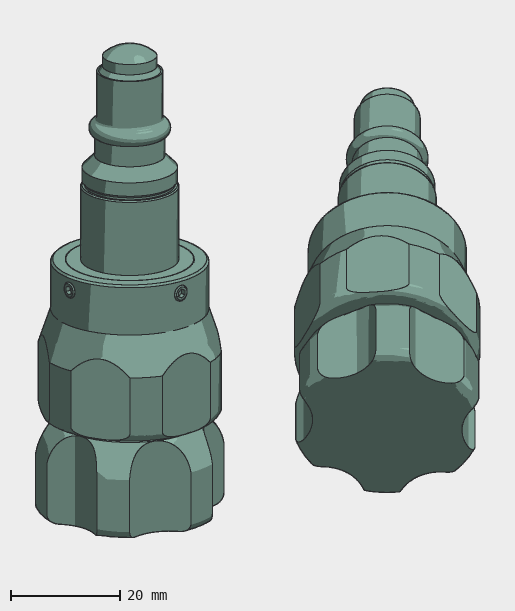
import cadquery as cq
import math

knob_radius = 17.5
knob_top_radius = 13.7
knob_height = 17.7
knob_shoulder_height = 11.7
knob_shoulder_mid = (16.2, 15.05)
knob_bottom_fillet = 2.0
scallop_count = 6
scallop_first_angle = 39.5
scallop_half_angle = 20.0
scallop_floor_radius = 13.7

neck_radius = 11.8
grip_bottom = 18.55

grip_radius = 17.0
grip_flat_distance = 16.0
grip_flat_count = 6
grip_bottom_fillet = 2.0
grip_cone_bottom = 31.4
collar_radius = 14.5
collar_bottom = 38.85
collar_top = 48.45
collar_chamfer = 0.4

seam_inner_radius = 11.7
seam_outer_radius = 11.8
seam_depth = 0.5

screw_radius = 1.5
screw_height = 45.75
screw_tip_distance = 14.7
screw_length = 3.0
screw_chamfer = 0.25
screw_clearance_radius = 1.525
screw_clearance_depth = 1.0
screw_socket_sides = 6
screw_socket_across_flats = 1.5
screw_socket_depth = 1.0
screw_angles = (0.0, -90.0)

spigot_radius = 9.0
spigot_top = 62.9
spigot_chamfer = 0.25
spigot_groove_radius = 8.3
land_bottom = 63.3
land_chamfer = 0.45
land_radius = 8.75
land_top = 66.35
stem_radius = 6.45
ring_center_height = 74.0
ring_tube_radius = 1.5
ring_radius = 6.0
ring_fillet = 0.7
tip_radius = 6.05
tip_top = 85.05
tip_bevel_radius = 5.7
nose_radius = 5.0
nose_bottom = 86.0
nose_top = 88.0
total_height = 89.96


def revolve_profile(profile):
    """Turn a closed (radius, height) profile around the Z axis."""
    return profile.close().revolve(360, (0, 0, 0), (0, 1, 0))


def make_knob():
    profile = (
        cq.Workplane("XZ")
        .lineTo(knob_radius, 0)
        .lineTo(knob_radius, knob_shoulder_height)
        .threePointArc(knob_shoulder_mid, (knob_top_radius, knob_height))
        .lineTo(0, knob_height)
    )
    knob = revolve_profile(profile).faces("<Z").edges().fillet(knob_bottom_fillet)

    half_angle = math.radians(scallop_half_angle)
    half_chord = knob_radius * math.sin(half_angle)
    sagitta = knob_radius * math.cos(half_angle) - scallop_floor_radius
    scallop_radius = (half_chord**2 + sagitta**2) / (2 * sagitta)
    scallops = (
        cq.Workplane("XY")
        .polarArray(scallop_floor_radius + scallop_radius, scallop_first_angle, 360, scallop_count)
        .circle(scallop_radius)
        .extrude(knob_height)
    )
    return knob.cut(scallops)


def make_neck():
    return cq.Workplane("XY").circle(neck_radius).extrude(grip_bottom)


def make_grip():
    profile = (
        cq.Workplane("XZ")
        .moveTo(0, grip_bottom)
        .lineTo(grip_radius - grip_bottom_fillet, grip_bottom)
        .radiusArc((grip_radius, grip_bottom + grip_bottom_fillet), -grip_bottom_fillet)
        .lineTo(grip_radius, grip_cone_bottom)
        .lineTo(collar_radius, collar_bottom)
        .lineTo(collar_radius, collar_top - collar_chamfer)
        .lineTo(collar_radius - collar_chamfer, collar_top)
        .lineTo(0, collar_top)
    )
    grip = revolve_profile(profile)

    corner_diameter = 2 * grip_flat_distance / math.cos(math.pi / grip_flat_count)
    flats = (
        cq.Workplane("XY")
        .workplane(offset=grip_bottom)
        .transformed(rotate=(0, 0, 180 / grip_flat_count))
        .polygon(grip_flat_count, corner_diameter)
        .extrude(collar_top - grip_bottom)
    )
    return grip.intersect(flats)


def make_seam():
    return (
        cq.Workplane("XY")
        .workplane(offset=collar_top - seam_depth)
        .circle(seam_outer_radius)
        .circle(seam_inner_radius)
        .extrude(seam_depth)
    )


def make_spigot():
    ring_reach = math.sqrt(ring_tube_radius**2 - (stem_radius - ring_radius) ** 2)

    fillet_offset = tip_radius + ring_fillet - ring_radius
    center_distance = ring_tube_radius + ring_fillet
    fillet_rise = math.sqrt(center_distance**2 - fillet_offset**2)
    fillet_top = (tip_radius, ring_center_height + fillet_rise)
    ring_share = ring_tube_radius / center_distance
    fillet_bottom = (
        ring_radius + fillet_offset * ring_share,
        ring_center_height + fillet_rise * ring_share,
    )

    dome_rise = total_height - nose_top
    dome_radius = (nose_radius**2 + dome_rise**2) / (2 * dome_rise)
    profile = (
        cq.Workplane("XZ")
        .moveTo(0, grip_bottom)
        .lineTo(spigot_radius, grip_bottom)
        .lineTo(spigot_radius, spigot_top - spigot_chamfer)
        .lineTo(spigot_radius - spigot_chamfer, spigot_top)
        .lineTo(spigot_groove_radius, spigot_top)
        .lineTo(spigot_groove_radius, land_bottom)
        .lineTo(land_radius, land_bottom + land_chamfer)
        .lineTo(land_radius, land_top)
        .lineTo(stem_radius, land_top + land_radius - stem_radius)
        .lineTo(stem_radius, ring_center_height - ring_reach)
        .threePointArc(
            (ring_radius + ring_tube_radius, ring_center_height),
            fillet_bottom,
        )
        .radiusArc(fillet_top, ring_fillet)
        .lineTo(tip_radius, tip_top)
        .lineTo(tip_bevel_radius, tip_top)
        .lineTo(nose_radius, nose_bottom)
        .lineTo(nose_radius, nose_top)
        .radiusArc((0, total_height), -dome_radius)
    )
    return revolve_profile(profile)


def screw_plane(angle, distance):
    """Plane facing outward at the given angle and distance from the axis."""
    direction = (math.cos(math.radians(angle)), math.sin(math.radians(angle)), 0)
    origin = (distance * direction[0], distance * direction[1], screw_height)
    return cq.Workplane(cq.Plane(origin=origin, xDir=(0, 0, 1), normal=direction))


def add_set_screw(body, angle):
    inner_end = screw_tip_distance - screw_length
    clearance = screw_plane(angle, collar_radius - screw_clearance_depth).circle(screw_clearance_radius)
    screw = screw_plane(angle, inner_end).circle(screw_radius).extrude(screw_length)
    screw = screw.edges().chamfer(screw_chamfer)
    socket_diameter = screw_socket_across_flats / math.cos(math.pi / screw_socket_sides)
    socket = (
        screw_plane(angle, screw_tip_distance)
        .polygon(screw_socket_sides, socket_diameter)
        .extrude(-screw_socket_depth)
    )
    return body.cut(clearance.extrude(screw_length)).union(screw).cut(socket)


result = make_knob().union(make_neck()).union(make_grip()).union(make_spigot())
result = result.cut(make_seam())
for screw_angle in screw_angles:
    result = add_set_screw(result, screw_angle)